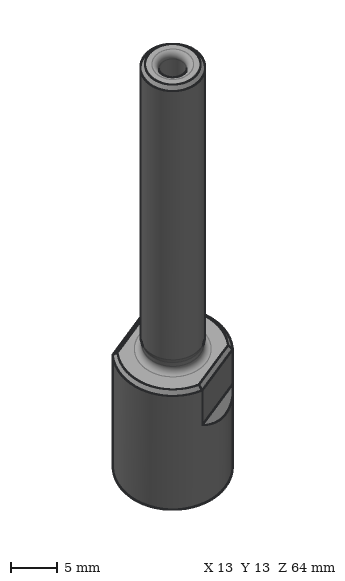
import cadquery as cq
import math

total_length = 64.0
head_diameter = 13.0
head_length = 19.0
shank_diameter = 7.0
edge_chamfer = 0.5

undercut_diameter = 6.7
undercut_length = 2.0
undercut_fillet = 0.8
undercut_runout_length = 0.6

bore_diameter = 3.0
mouth_fillet = 0.75

width_across_flats = 11.0
flat_length = 6.0
flat_runout_angle = 45.0

head_radius = head_diameter / 2
shank_radius = shank_diameter / 2
undercut_radius = undercut_diameter / 2


def turned_body():
    """Revolve the half profile of the head, undercut and shank about Z."""
    undercut_top = head_length + undercut_length
    fillet_offset = undercut_fillet * (1 - math.sqrt(0.5))
    return (
        cq.Workplane("XZ")
        .lineTo(head_radius - edge_chamfer, 0)
        .lineTo(head_radius, edge_chamfer)
        .lineTo(head_radius, head_length)
        .lineTo(undercut_radius + undercut_fillet, head_length)
        .threePointArc(
            (undercut_radius + fillet_offset, head_length + fillet_offset),
            (undercut_radius, head_length + undercut_fillet),
        )
        .lineTo(undercut_radius, undercut_top - undercut_runout_length)
        .lineTo(shank_radius, undercut_top)
        .lineTo(shank_radius, total_length - edge_chamfer)
        .lineTo(shank_radius - edge_chamfer, total_length)
        .lineTo(0, total_length)
        .close()
        .revolve(360, (0, 0), (0, 1))
    )


def flat_cutter():
    """Prism that cuts the +X wrench flat and its sloping runout, from the head's top face down."""
    flat_x = width_across_flats / 2
    flat_bottom = head_length - flat_length
    cut_depth = head_radius - flat_x
    runout_drop = cut_depth / math.tan(math.radians(flat_runout_angle))
    return (
        cq.Workplane("XZ")
        .moveTo(flat_x, head_length)
        .lineTo(flat_x, flat_bottom)
        .lineTo(head_radius, flat_bottom - runout_drop)
        .lineTo(head_diameter, flat_bottom - runout_drop)
        .lineTo(head_diameter, head_length)
        .close()
        .extrude(head_radius, both=True)
    )


def cut_wrench_flats(body):
    """Cut the flats on opposite sides of the head."""
    for turn in (0, 180):
        body = body.cut(flat_cutter().rotate((0, 0, 0), (0, 0, 1), turn))
    return body


def chamfer_head_top(body):
    """Chamfer the outer rim of the head's top face, along arcs and flats alike."""
    shoulder_middle = (0, (head_radius + shank_radius) / 2, head_length)
    shoulder = body.faces(cq.selectors.NearestToPointSelector(shoulder_middle))
    rim = shoulder.val().outerWire().Edges()
    return body.newObject(rim).chamfer(edge_chamfer)


def cut_bore(body):
    """Drill through along Z and round the mouth at the shank end."""
    bored = body.faces(">Z").workplane().hole(bore_diameter)
    mouth = bored.faces(">Z").edges(cq.selectors.RadiusNthSelector(0))
    return mouth.fillet(mouth_fillet)


result = cut_bore(chamfer_head_top(cut_wrench_flats(turned_body())))